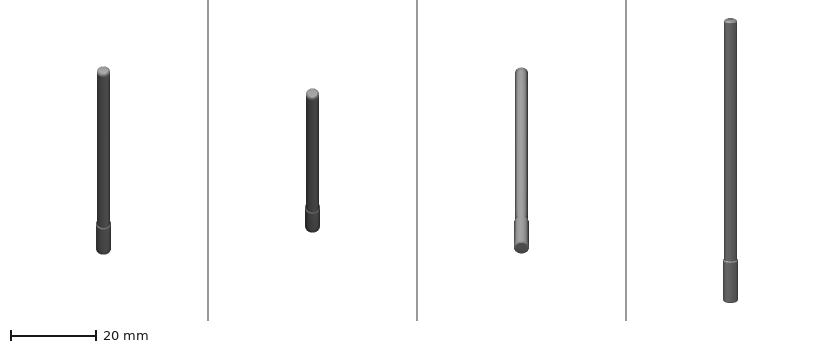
import cadquery as cq

TOTAL_LENGTH = 70.0
ROD_DIAMETER = 3.0
ROD_CHAMFER = 0.35
TIP_DIAMETER = 3.5
TIP_LENGTH = 10.35

ROD_RADIUS = ROD_DIAMETER / 2
TIP_RADIUS = TIP_DIAMETER / 2
ROD_LENGTH = TOTAL_LENGTH - TIP_LENGTH
TIP_CHAMFER_HEIGHT = TIP_RADIUS - ROD_RADIUS


def make_rod():
    """Long rod seated on the flat top of the tip, chamfered at its free end."""
    rod = cq.Workplane("XY").workplane(offset=TIP_LENGTH).circle(ROD_RADIUS).extrude(ROD_LENGTH)
    return rod.faces(">Z").chamfer(ROD_CHAMFER)


def make_tip():
    """Thicker end piece, tapering to the rod diameter at both ends."""
    half_profile = (
        cq.Workplane("XZ")
        .lineTo(ROD_RADIUS, 0)
        .lineTo(TIP_RADIUS, TIP_CHAMFER_HEIGHT)
        .lineTo(TIP_RADIUS, TIP_LENGTH - TIP_CHAMFER_HEIGHT)
        .lineTo(ROD_RADIUS, TIP_LENGTH)
        .lineTo(0, TIP_LENGTH)
        .close()
    )
    return half_profile.revolve(360, (0, 0, 0), (0, 1, 0))


rod = make_rod()
tip = make_tip()
result = cq.Compound.makeCompound([rod.val(), tip.val()])